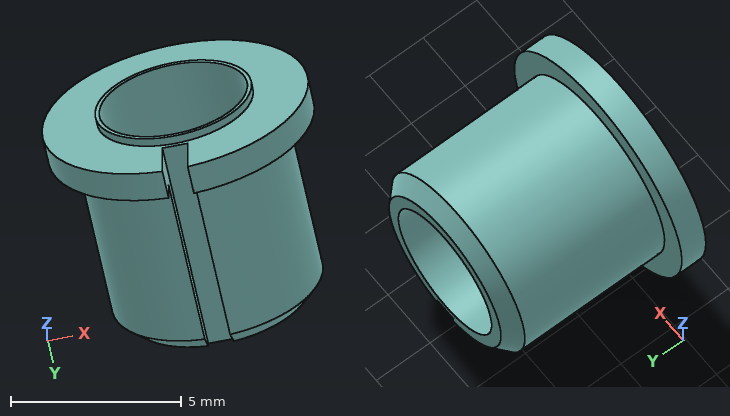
import cadquery as cq

bore_diameter = 4.45
lip_diameter = 4.7
flange_diameter = 8.0
barrel_diameter = 6.35
overall_length = 6.86
lip_length = 0.25
flange_thickness = 0.9
chamfer_size = 0.5
slot_width = 0.76
slot_floor_radius = 2.49

flange_start = lip_length
flange_end = flange_start + flange_thickness


def bushing_body():
    """Revolved wall: short lip, flange, and barrel with a chamfered far end."""
    bore_radius = bore_diameter / 2
    lip_radius = lip_diameter / 2
    flange_radius = flange_diameter / 2
    barrel_radius = barrel_diameter / 2
    profile = (
        cq.Workplane("XY")
        .moveTo(bore_radius, 0)
        .lineTo(lip_radius, 0)
        .lineTo(lip_radius, flange_start)
        .lineTo(flange_radius, flange_start)
        .lineTo(flange_radius, flange_end)
        .lineTo(barrel_radius, flange_end)
        .lineTo(barrel_radius, overall_length - chamfer_size)
        .lineTo(barrel_radius - chamfer_size, overall_length)
        .lineTo(bore_radius, overall_length)
        .close()
    )
    return profile.revolve(360, (0, 0, 0), (0, 1, 0))


def keyway_slot():
    """Slot on the -Z side, running the full length through flange and barrel."""
    slot_depth = flange_diameter / 2 - slot_floor_radius
    return (
        cq.Workplane("XY")
        .box(slot_width, overall_length, slot_depth, centered=(True, False, False))
        .translate((0, 0, -flange_diameter / 2))
    )


result = bushing_body().cut(keyway_slot())